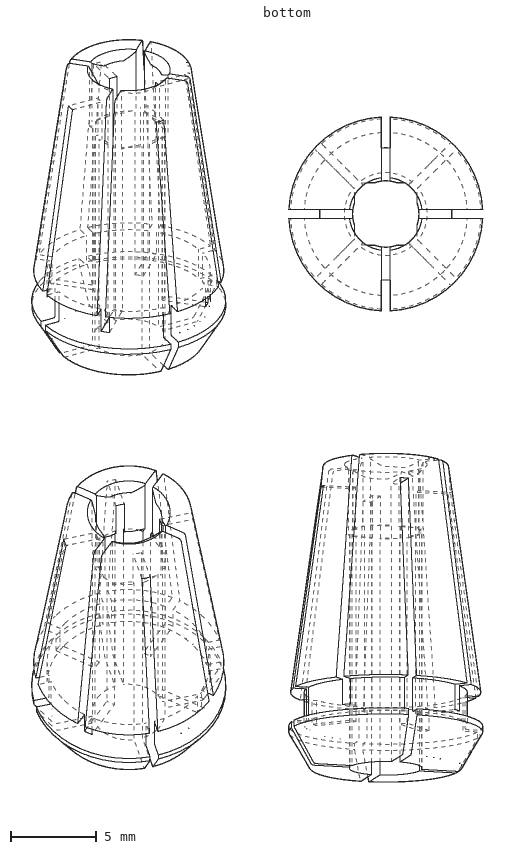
import cadquery as cq
import math

HEIGHT = 18.0
RIM_BOTTOM_Z = 2.15
RIM_TOP_Z = 2.5
TAPER_BOTTOM_Z = 4.5

RIM_RADIUS = 5.65
NECK_RADIUS = 4.75
TAPER_BASE_RADIUS = 5.55
TAPER_ANGLE = 8.0
NOSE_ANGLE = 30.0
END_FILLET = 0.2
NECK_FILLET = 0.09

SHANK_RADIUS = 2.12
SHANK_DEPTH = 14.0
SQUARE_SIDE = 3.64
PILOT_RADIUS = 1.93
COUNTERSINK_RADIUS = 2.41
COUNTERSINK_ANGLE = 45.0

SLOT_WIDTH = 0.5
LOWER_SLOT_TOP_Z = 16.5
UPPER_SLOT_FLOOR_Z = 3.0
SLOT_REACH = 7.2

taper_top_radius = TAPER_BASE_RADIUS - (HEIGHT - TAPER_BOTTOM_Z) * math.tan(math.radians(TAPER_ANGLE))
nose_radius = RIM_RADIUS - RIM_BOTTOM_Z * math.tan(math.radians(NOSE_ANGLE))


def make_body():
    """Revolved nose cone, rim, neck and long taper, with both ends rounded."""
    body = (
        cq.Workplane("XZ")
        .lineTo(nose_radius, 0)
        .lineTo(RIM_RADIUS, RIM_BOTTOM_Z)
        .lineTo(RIM_RADIUS, RIM_TOP_Z)
        .lineTo(NECK_RADIUS + NECK_FILLET, RIM_TOP_Z)
        .radiusArc((NECK_RADIUS, RIM_TOP_Z + NECK_FILLET), NECK_FILLET)
        .lineTo(NECK_RADIUS, TAPER_BOTTOM_Z)
        .lineTo(TAPER_BASE_RADIUS, TAPER_BOTTOM_Z)
        .lineTo(taper_top_radius, HEIGHT)
        .lineTo(0, HEIGHT)
        .close()
        .revolve(360, (0, 0), (0, 1))
    )
    return body.faces("<Z or >Z").edges().fillet(END_FILLET)


def make_bore():
    """Shank bore, square socket with its pilot hole, and the top countersink."""
    socket_depth = HEIGHT - SHANK_DEPTH
    shank = cq.Workplane("XY").circle(SHANK_RADIUS).extrude(SHANK_DEPTH)
    socket_plane = cq.Workplane("XY").workplane(offset=SHANK_DEPTH)
    square = socket_plane.rect(SQUARE_SIDE, SQUARE_SIDE).extrude(socket_depth)
    pilot = socket_plane.circle(PILOT_RADIUS).extrude(socket_depth)
    cone_depth = COUNTERSINK_RADIUS / math.tan(math.radians(COUNTERSINK_ANGLE))
    countersink = cq.Workplane(
        cq.Solid.makeCone(0, COUNTERSINK_RADIUS, cone_depth, pnt=cq.Vector(0, 0, HEIGHT - cone_depth))
    )
    return shank.union(square).union(pilot).union(countersink)


def cross_slots(bottom_z, top_z, angle):
    """Two crossing slots through the full width, the first at the given angle from X."""
    blade = (
        cq.Workplane("XY")
        .workplane(offset=bottom_z)
        .rect(2 * SLOT_REACH, SLOT_WIDTH)
        .extrude(top_z - bottom_z)
    )
    first = blade.rotate((0, 0, 0), (0, 0, 1), angle)
    return first.union(first.rotate((0, 0, 0), (0, 0, 1), 90))


result = (
    make_body()
    .cut(make_bore())
    .cut(cross_slots(0, LOWER_SLOT_TOP_Z, 0))
    .cut(cross_slots(UPPER_SLOT_FLOOR_Z, HEIGHT, 45))
)